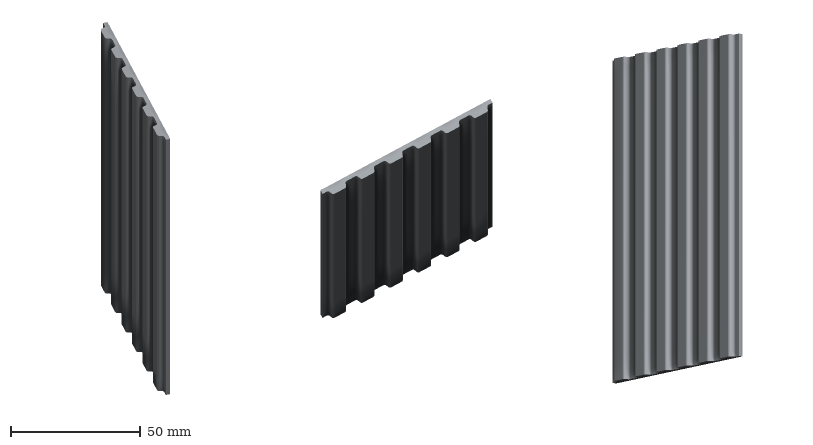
import cadquery as cq
import math

belt_height = 127.0
tooth_count = 6
tooth_pitch = 12.7
belt_width = tooth_count * tooth_pitch
total_thickness = 4.1
tooth_depth = 2.3
backing_thickness = total_thickness - tooth_depth
root_width = 7.6
flank_angle = 20.0
corner_radius = 0.9

tip_width = root_width - 2 * tooth_depth * math.tan(math.radians(flank_angle))
back_y = total_thickness / 2
root_y = back_y - backing_thickness
tip_y = -total_thickness / 2


def tooth_corners(center_x):
    """Return the four unrounded corners of one tooth, from left to right."""
    return [
        (center_x - root_width / 2, root_y),
        (center_x - tip_width / 2, tip_y),
        (center_x + tip_width / 2, tip_y),
        (center_x + root_width / 2, root_y),
    ]


def belt_blank():
    """Extrude the sharp-cornered belt section along Z."""
    outline = [(-belt_width / 2, back_y), (-belt_width / 2, root_y)]
    for index in range(tooth_count):
        center_x = (index - (tooth_count - 1) / 2) * tooth_pitch
        outline += tooth_corners(center_x)
    outline += [(belt_width / 2, root_y), (belt_width / 2, back_y)]
    return (
        cq.Workplane("XY", origin=(0, 0, -belt_height / 2))
        .polyline(outline)
        .close()
        .extrude(belt_height)
    )


def round_teeth(belt):
    """Round every tip and root edge, leaving the outer edges of the belt sharp."""
    margin = tooth_pitch / 20
    inner_width = belt_width - 2 * margin
    selection_box = cq.selectors.BoxSelector(
        (-inner_width / 2, tip_y - margin, -belt_height),
        (inner_width / 2, root_y + margin, belt_height),
    )
    return belt.edges("|Z").edges(selection_box).fillet(corner_radius)


result = round_teeth(belt_blank())